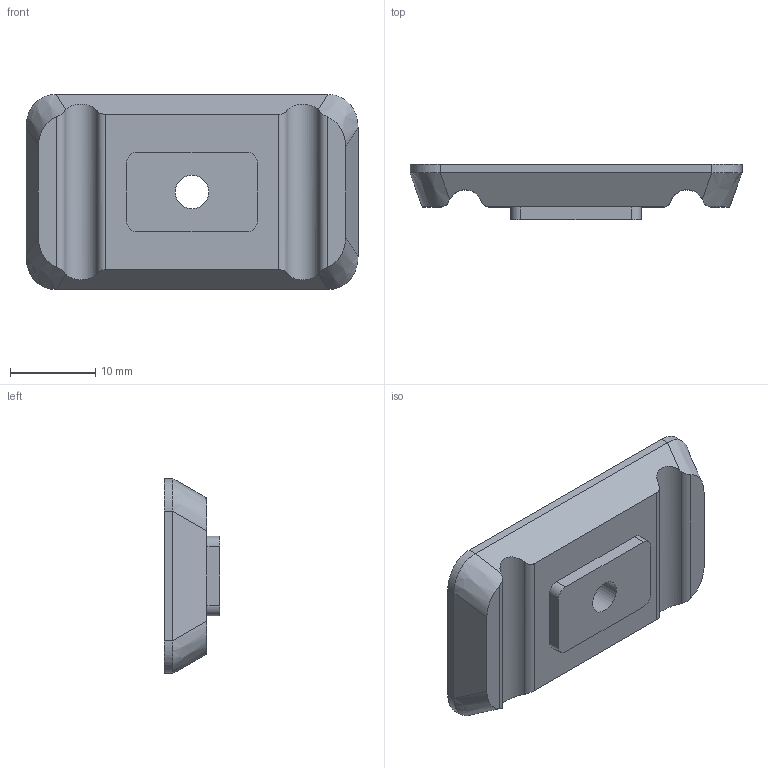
import cadquery as cq
import math

rim_length = 38.91
rim_height = 22.85
rim_thickness = 1.0
plate_thickness = 5.0
end_draft = 20.0
side_draft = 30.0
corner_radius = 4.0

pad_length = 15.3
pad_height = 9.3
pad_thickness = 1.5
pad_corner_radius = 1.2
hole_diameter = 3.9

groove_offset = 13.0
groove_radius = 2.0
groove_lip_radius = 1.0

taper_depth = plate_thickness - rim_thickness
front_length = rim_length - 2 * taper_depth * math.tan(math.radians(end_draft))
front_height = rim_height - 2 * taper_depth * math.tan(math.radians(side_draft))


def make_plate():
    """Tapered block with rounded corners, on a straight rim of the same outline."""
    block = (
        cq.Workplane("XZ", origin=(0, -rim_thickness, 0))
        .rect(rim_length, rim_height)
        .workplane(offset=taper_depth)
        .rect(front_length, front_height)
        .loft(ruled=True)
    )
    block = block.edges("not(#Y)").fillet(corner_radius)
    rim = block.faces(">Y").wires().toPending().workplane().extrude(rim_thickness, combine=False)
    return block.union(rim)


def make_pad():
    """Rounded rectangular pad standing on the front face."""
    return (
        cq.Workplane("XZ", origin=(0, -plate_thickness, 0))
        .rect(pad_length, pad_height)
        .extrude(pad_thickness)
        .edges("|Y")
        .fillet(pad_corner_radius)
    )


def make_groove(center_x):
    """Cutter for one groove: a half-round channel flaring into two rounded lips."""
    center_distance = groove_radius + groove_lip_radius
    half_mouth = math.sqrt(center_distance**2 - groove_lip_radius**2)
    tangent_x = half_mouth * groove_radius / center_distance
    tangent_y = groove_lip_radius * groove_radius / center_distance
    return (
        cq.Workplane("XY", origin=(center_x, -plate_thickness, -rim_height / 2))
        .moveTo(-half_mouth, 0)
        .radiusArc((-tangent_x, tangent_y), -groove_lip_radius)
        .threePointArc((0, groove_radius), (tangent_x, tangent_y))
        .radiusArc((half_mouth, 0), -groove_lip_radius)
        .close()
        .extrude(rim_height)
    )


def make_hole():
    """Cutter for the round hole through the pad and plate."""
    return cq.Workplane("XZ").circle(hole_diameter / 2).extrude(plate_thickness + pad_thickness)


result = make_plate().union(make_pad())
for center_x in (-groove_offset, groove_offset):
    result = result.cut(make_groove(center_x))
result = result.cut(make_hole())